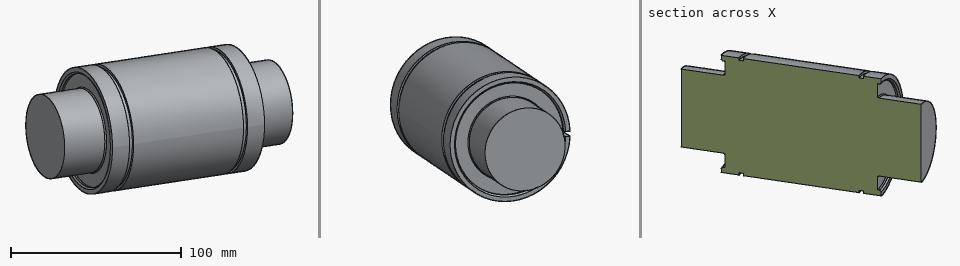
import cadquery as cq

SHAFT_DIAMETER = 50.0
SHAFT_LENGTH = 150.0

SLEEVE_DIAMETER = 75.0
SLEEVE_LENGTH = 100.0

GROOVE_DIAMETER = 72.0
GROOVE_WIDTH = 2.65
GROOVE_OUTER_SPAN = 77.6

SEAL_DIAMETER = 67.5
RECESS_CHAMFER = 1.0
SEAL_FACE_DEPTH = 2.25

LIP_BASE_DIAMETER = 51.0
LIP_HEIGHT = 0.9

SLIT_WIDTH = 3.0
SLIT_FLOOR_DIAMETER = SEAL_DIAMETER

CUTTER_MARGIN = 1.0


def cylinder(diameter, start_y, length):
    """Solid cylinder on the Y axis, growing from start_y towards +Y."""
    return cq.Workplane("XZ", origin=(0, start_y, 0)).circle(diameter / 2).extrude(-length)


def ring(outer_diameter, inner_diameter, start_y, length):
    """Annular ring on the Y axis, growing from start_y towards +Y."""
    return cylinder(outer_diameter, start_y, length).cut(cylinder(inner_diameter, start_y, length))


def revolve_about_y(profile):
    """Solid of revolution about the Y axis from (radius, y) points."""
    return cq.Workplane("XY").polyline(profile).close().revolve(360, (0, 0, 0), (0, 1, 0))


def retaining_groove():
    """Cutter for the groove near the -Y end."""
    return ring(SLEEVE_DIAMETER + 2 * CUTTER_MARGIN, GROOVE_DIAMETER, -GROOVE_OUTER_SPAN / 2, GROOVE_WIDTH)


def end_recess():
    """Cutter for the chamfered recess at the -Y end."""
    end_y = -SLEEVE_LENGTH / 2
    profile = [
        (0, end_y),
        (SEAL_DIAMETER / 2 + RECESS_CHAMFER, end_y),
        (SEAL_DIAMETER / 2, end_y + RECESS_CHAMFER),
        (SEAL_DIAMETER / 2, end_y + SEAL_FACE_DEPTH),
        (0, end_y + SEAL_FACE_DEPTH),
    ]
    return revolve_about_y(profile)


def seal_lip():
    """Conical lip on the seal face at the -Y end, closing onto the shaft."""
    seal_face_y = -SLEEVE_LENGTH / 2 + SEAL_FACE_DEPTH
    lip_tip_y = seal_face_y - LIP_HEIGHT
    profile = [
        (0, seal_face_y),
        (LIP_BASE_DIAMETER / 2, seal_face_y),
        (SHAFT_DIAMETER / 2, lip_tip_y),
        (0, lip_tip_y),
    ]
    return revolve_about_y(profile)


def slit_slab():
    """Slab on the -X side with the width of the slit."""
    reach = SLEEVE_DIAMETER / 2 + CUTTER_MARGIN
    return cq.Workplane("XY").box(reach, SLEEVE_LENGTH, SLIT_WIDTH).translate((-reach / 2, 0, 0))


def slit():
    """Cutter for the slit, with its floor following the round core."""
    return slit_slab().cut(cylinder(SLIT_FLOOR_DIAMETER, -SLEEVE_LENGTH / 2, SLEEVE_LENGTH))


sleeve = cylinder(SLEEVE_DIAMETER, -SLEEVE_LENGTH / 2, SLEEVE_LENGTH)
shaft = cylinder(SHAFT_DIAMETER, -SHAFT_LENGTH / 2, SHAFT_LENGTH)

sleeve = sleeve.cut(slit())
for make_cutter in (retaining_groove, end_recess):
    cutter = make_cutter()
    sleeve = sleeve.cut(cutter).cut(cutter.mirror("XZ"))

lip = seal_lip()
result = sleeve.union(shaft).union(lip).union(lip.mirror("XZ"))